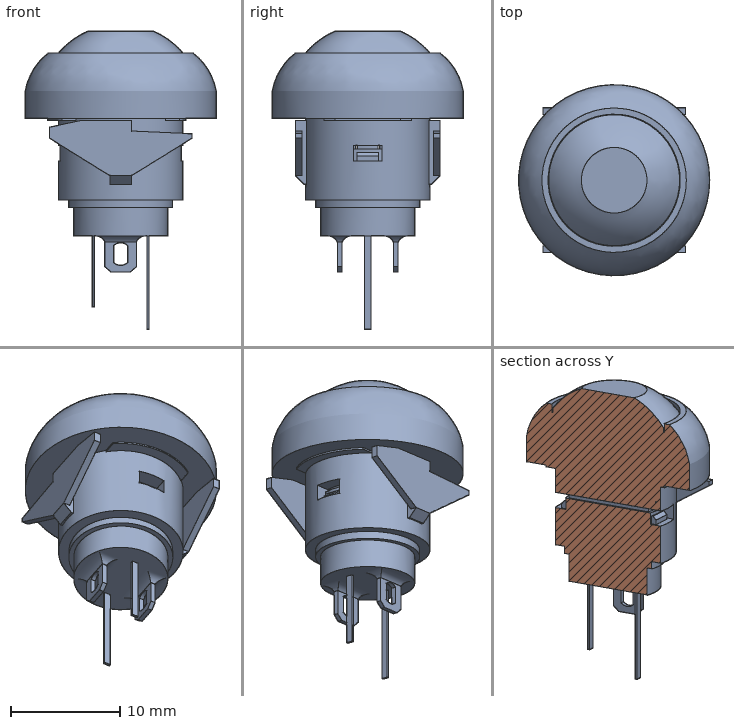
import cadquery as cq


bezel_radius = 17.5 / 2
bezel_skirt_height = 2.5
bezel_bulge = (8.0, 4.48)
rim_radius = 6.6
rim_height = 6.0
bore_radius = 12.1 / 2
bore_depth = 0.82
button_radius = 12.0 / 2
button_edge_height = 5.63
button_bulge = (4.62, 7.05)
button_flat_radius = 3.0
button_height = 8.0
total_height = 27.3

flange_radius = 6.7
flange_half_width = 4.0
flange_flat_x = 5.98
flange_thickness = 0.16

body_radius = 5.7
body_bottom = -7.48
collar_radius = 9.53 / 2
collar_bottom = -8.17
base_radius = 4.31
base_bottom = -10.75

window_width = 2.6
window_top = -2.45
window_bottom = -3.88
window_wall_radius = 4.65
ledge_height = -2.79
ledge_wall_radius = 4.31
tongue_width = 1.95
tongue_face_x = 5.03
tongue_top = -3.1
tongue_slope = 0.33
slit_inner_y = 0.95
slit_width = 0.15

clip_outer_y = 6.64
clip_thickness = 0.63
clip_top = -flange_thickness
clip_left_x = -6.53
clip_right_x = 6.55
clip_left_top = -0.8
clip_left_bottom = -1.8
clip_shelf_height = -1.15
clip_right_top = -1.4
clip_right_bottom = -1.8
clip_slope_start_x = -3.52
clip_point_bottom = -5.25
web_half_width = 0.98
web_bevel = 0.8

lug_y = 2.57
lug_width = 2.92
lug_thickness = 0.45
lug_bottom = -14.06
lug_chamfer_height = 0.5
lug_chamfer_width = 0.57
foot_core_width = 2.7
foot_core_thickness = 0.3
foot_fillet = 0.93
foot_height = 0.55
lug_hole_width = 1.25
lug_hole_top = -11.4
lug_hole_bottom = -13.45
lug_hole_arch = 0.25

pin_x = 2.5
pin_thickness = 0.205
pin_width = 0.63
short_pin_bottom = -17.25
long_pin_bottom = button_height - total_height

embed = 0.27


def box(x_range, y_range, z_range):
    """Axis-aligned box from three (low, high) ranges."""
    low, high = zip(x_range, y_range, z_range)
    size = [b - a for a, b in zip(low, high)]
    return cq.Workplane("XY").box(*size, centered=False).translate(low)


def cylinder(radius, bottom, top):
    return cq.Workplane("XY").workplane(offset=bottom).circle(radius).extrude(top - bottom)


def both_sides(shape, plane):
    """The shape together with its mirror image."""
    return shape.union(shape.mirror(plane))


def make_turned_core():
    """Button, bezel, body, collar and base as one turned profile."""
    bore_floor = rim_height - bore_depth
    return (
        cq.Workplane("XZ")
        .moveTo(0, base_bottom)
        .lineTo(base_radius, base_bottom)
        .lineTo(base_radius, collar_bottom)
        .lineTo(collar_radius, collar_bottom)
        .lineTo(collar_radius, body_bottom)
        .lineTo(body_radius, body_bottom)
        .lineTo(body_radius, 0)
        .lineTo(bezel_radius, 0)
        .lineTo(bezel_radius, bezel_skirt_height)
        .threePointArc(bezel_bulge, (rim_radius, rim_height))
        .lineTo(bore_radius, rim_height)
        .lineTo(bore_radius, bore_floor)
        .lineTo(button_radius, bore_floor)
        .lineTo(button_radius, button_edge_height)
        .threePointArc(button_bulge, (button_flat_radius, button_height))
        .lineTo(0, button_height)
        .close()
        .revolve(360, (0, 0, 0), (0, 1, 0))
    )


def make_flange():
    """Disc cut flat on the -Y, +Y and +X sides."""
    disc = cylinder(flange_radius, -flange_thickness, embed)
    limits = box(
        (-flange_radius, flange_flat_x),
        (-flange_half_width, flange_half_width),
        (-flange_thickness, embed),
    )
    return disc.intersect(limits)


def make_window_cutter():
    """Window on the -X side, with a deeper pocket above the ledge and a sloped tongue left standing."""
    half_width = window_width / 2
    x_range = (-body_radius - embed, 0)
    y_range = (-half_width, half_width)
    lower = box(x_range, y_range, (window_bottom, ledge_height))
    lower = lower.cut(cylinder(window_wall_radius, window_bottom, ledge_height))
    upper = box(x_range, y_range, (ledge_height, window_top))
    upper = upper.cut(cylinder(ledge_wall_radius, ledge_height, window_top))
    tongue = (
        cq.Workplane("XZ")
        .moveTo(-tongue_face_x, window_bottom)
        .lineTo(-tongue_face_x, tongue_top - tongue_slope)
        .lineTo(-tongue_face_x + tongue_slope, tongue_top)
        .lineTo(0, tongue_top)
        .lineTo(0, window_bottom)
        .close()
        .extrude(tongue_width / 2, both=True)
    )
    return lower.union(upper).cut(tongue)


def make_slit():
    """Narrow see-through slit along X, on the +Y side of the ledge pocket."""
    return box(
        (-body_radius, body_radius),
        (slit_inner_y, slit_inner_y + slit_width),
        (ledge_height, window_top),
    )


def make_clip():
    """Snap clip on the -Y side: a flat wing joined to the body by a bevelled web."""
    wing = (
        cq.Workplane("XZ", origin=(0, clip_thickness - clip_outer_y, 0))
        .moveTo(clip_left_x, clip_left_top)
        .lineTo(clip_slope_start_x, clip_top)
        .lineTo(web_half_width, clip_top)
        .lineTo(web_half_width, clip_shelf_height)
        .lineTo(clip_right_x, clip_right_top)
        .lineTo(clip_right_x, clip_right_bottom)
        .lineTo(web_half_width, clip_point_bottom)
        .lineTo(-web_half_width, clip_point_bottom)
        .lineTo(clip_left_x, clip_left_bottom)
        .close()
        .extrude(clip_thickness)
    )
    web_inner_y = embed - body_radius
    web_bottom = clip_point_bottom - web_bevel
    web = (
        cq.Workplane("YZ")
        .moveTo(web_inner_y, clip_top)
        .lineTo(-clip_outer_y, clip_top)
        .lineTo(-clip_outer_y, clip_point_bottom)
        .lineTo(-clip_outer_y + web_bevel, web_bottom)
        .lineTo(web_inner_y, web_bottom)
        .close()
        .extrude(web_half_width, both=True)
    )
    return wing.union(web)


def make_lug_foot():
    """Flared foot of the -Y lug: the upper part of a concave fillet around a slim core."""
    floor = cylinder(base_radius, base_bottom, base_bottom + embed)
    core_length = 2 * foot_fillet
    flared = (
        floor.faces("<Z")
        .workplane(origin=(0, -lug_y, base_bottom))
        .rect(foot_core_width, foot_core_thickness)
        .extrude(core_length)
        .faces(cq.selectors.NearestToPointSelector((0, 0, base_bottom)))
        .edges("not %CIRCLE")
        .fillet(foot_fillet)
    )
    return flared.intersect(cylinder(base_radius, base_bottom - foot_height, base_bottom + embed))


def make_lug():
    """Solder lug on the -Y side: flared foot, chamfered blade and an arched eyelet."""
    half_width = lug_width / 2
    half_thickness = lug_thickness / 2
    chamfer_top = lug_bottom + lug_chamfer_height
    tip_half_width = half_width - lug_chamfer_width
    blade_top = base_bottom - foot_height
    blade = (
        cq.Workplane("XZ", origin=(0, -lug_y, 0))
        .moveTo(-half_width, blade_top)
        .lineTo(-half_width, chamfer_top)
        .lineTo(-tip_half_width, lug_bottom)
        .lineTo(tip_half_width, lug_bottom)
        .lineTo(half_width, chamfer_top)
        .lineTo(half_width, blade_top)
        .close()
        .extrude(half_thickness, both=True)
    )
    hole_half = lug_hole_width / 2
    eyelet = (
        cq.Workplane("XZ", origin=(0, -lug_y, 0))
        .moveTo(-hole_half, lug_hole_bottom + lug_hole_arch)
        .lineTo(-hole_half, lug_hole_top - lug_hole_arch)
        .threePointArc((0, lug_hole_top), (hole_half, lug_hole_top - lug_hole_arch))
        .lineTo(hole_half, lug_hole_bottom + lug_hole_arch)
        .threePointArc((0, lug_hole_bottom), (-hole_half, lug_hole_bottom + lug_hole_arch))
        .close()
        .extrude(lug_thickness, both=True)
    )
    return make_lug_foot().union(blade).cut(eyelet)


def make_pin(x, bottom):
    half_thickness = pin_thickness / 2
    half_width = pin_width / 2
    return box(
        (x - half_thickness, x + half_thickness),
        (-half_width, half_width),
        (bottom, base_bottom + embed),
    )


result = (
    make_turned_core()
    .union(make_flange())
    .cut(both_sides(make_window_cutter(), "YZ"))
    .cut(both_sides(make_slit(), "XZ"))
    .union(both_sides(make_clip(), "XZ"))
    .union(both_sides(make_lug(), "XZ"))
    .union(make_pin(-pin_x, short_pin_bottom))
    .union(make_pin(pin_x, long_pin_bottom))
)